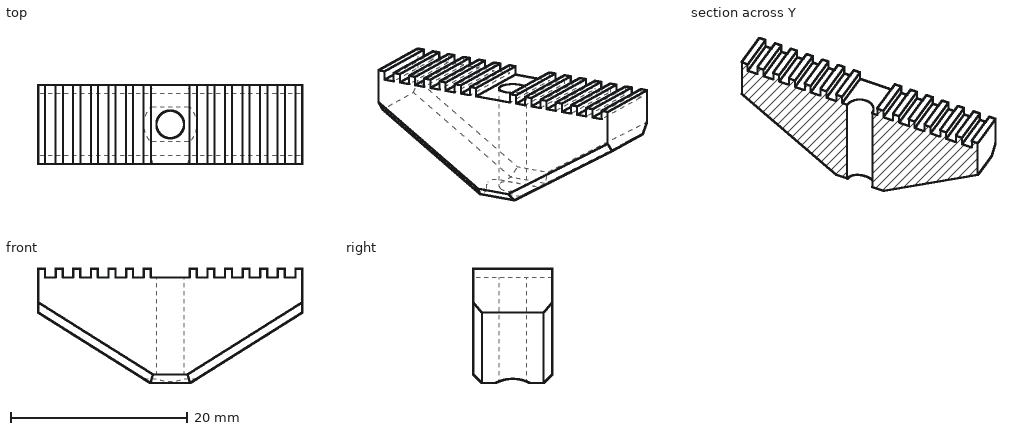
import cadquery as cq

length = 30.0
width = 9.0
height = 13.0
tooth_height = 1.0
foot_length = 4.5
shoulder_height = 8.0
edge_chamfer = 1.0
tooth_width = 0.8
middle_gap = 4.4
teeth_per_side = 7
hole_diameter = 3.12
groove_radius = 4.25
groove_depth = 0.48

half_length = length / 2
half_foot = foot_length / 2
tooth_pitch = (length - middle_gap - 2 * tooth_width) / (2 * (teeth_per_side - 1))
body_height = height - tooth_height


def make_body():
    """Tapered body with chamfers along the slopes and the foot."""
    body = (
        cq.Workplane("XZ")
        .moveTo(-half_length, body_height)
        .lineTo(half_length, body_height)
        .lineTo(half_length, shoulder_height)
        .lineTo(half_foot, 0)
        .lineTo(-half_foot, 0)
        .lineTo(-half_length, shoulder_height)
        .close()
        .extrude(width / 2, both=True)
    )
    lower_zone = cq.selectors.BoxSelector(
        (-length, -width, -height), (length, width, shoulder_height)
    )
    return body.faces("<Y or >Y").edges(lower_zone).chamfer(edge_chamfer)


def make_tooth(start, end):
    """Rib across the full width, rising from the top of the body."""
    return (
        cq.Workplane("XY")
        .box(end - start, width, tooth_height, centered=(False, True, False))
        .translate((start, 0, body_height))
    )


result = make_body()

for index in range(teeth_per_side):
    outer = half_length - index * tooth_pitch
    inner = outer - tooth_width
    result = result.union(make_tooth(inner, outer))
    result = result.union(make_tooth(-outer, -inner))

hole = cq.Workplane("XY").circle(hole_diameter / 2).extrude(height)
result = result.cut(hole)

groove = (
    cq.Workplane("YZ")
    .center(0, groove_depth - groove_radius)
    .circle(groove_radius)
    .extrude(length, both=True)
)
result = result.cut(groove)